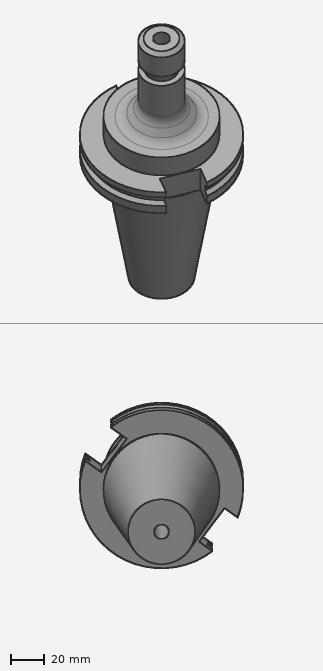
import cadquery as cq
import math

total_height = 203.2
head_bottom = 184.7
neck_step = 179.8
shank_top = 176.8
collar_top = 136.5
flange_top = 121.1
flange_bottom = 103.0
taper_top = 101.5

shank_radius = 14.0
neck_radius = 10.8
relief_radius = 10.2
collar_radius = 35.0
flange_radius = 49.2
taper_top_radius = 35.0
taper_relief_radius = 34.3
taper_ratio = 7 / 24
taper_bottom_radius = taper_top_radius - taper_top * taper_ratio / 2

head_chamfer_width = 3.3
head_chamfer_height = 2.0

flare_radius = 10.0
flare_outer_radius = 28.0
flare_height = flare_outer_radius - shank_radius

groove_center = 113.0
groove_floor_width = 4.0
groove_depth = 3.3
groove_side_height = 1.6
groove_half_mouth = groove_floor_width / 2 + groove_side_height

slot_width = 25.8
left_slot_floor = 37.5
right_slot_floor = 35.4

bore_diameter = 9.0
mouth_diameter = 10.2
mouth_depth = 20.3
side_hole_diameter = 9.8
side_hole_depth = 5.0


def flare(profile):
    """Continue the outline from the collar face up to the shank."""
    sin45 = math.sin(math.pi / 4)
    sin22 = math.sin(math.pi / 8)
    cos22 = math.cos(math.pi / 8)
    lower_center_z = collar_top + flare_radius
    upper_center_r = shank_radius + flare_radius
    shank_bottom = collar_top + flare_height

    def lower(sine, cosine):
        return (flare_outer_radius - flare_radius * sine, lower_center_z - flare_radius * cosine)

    def upper(sine, cosine):
        return (upper_center_r - flare_radius * cosine, shank_bottom - flare_radius * sine)

    return (
        profile.lineTo(flare_outer_radius, collar_top)
        .threePointArc(lower(sin22, cos22), lower(sin45, sin45))
        .lineTo(*upper(sin45, sin45))
        .threePointArc(upper(sin22, cos22), (shank_radius, shank_bottom))
    )


def turned_body():
    """Revolve the taper, flange, collar and shank about Z."""
    profile = (
        cq.Workplane("XZ")
        .moveTo(0, 0)
        .lineTo(taper_bottom_radius, 0)
        .lineTo(taper_top_radius, taper_top)
        .lineTo(taper_relief_radius, flange_bottom)
        .lineTo(flange_radius, flange_bottom)
        .lineTo(flange_radius, groove_center - groove_half_mouth)
        .lineTo(flange_radius - groove_depth, groove_center - groove_floor_width / 2)
        .lineTo(flange_radius - groove_depth, groove_center + groove_floor_width / 2)
        .lineTo(flange_radius, groove_center + groove_half_mouth)
        .lineTo(flange_radius, flange_top)
        .lineTo(collar_radius, flange_top)
        .lineTo(collar_radius, collar_top)
    )
    profile = (
        flare(profile)
        .lineTo(shank_radius, shank_top)
        .lineTo(relief_radius, shank_top)
        .lineTo(neck_radius, neck_step)
        .lineTo(neck_radius, head_bottom)
        .lineTo(shank_radius, head_bottom)
        .lineTo(shank_radius, total_height - head_chamfer_height)
        .lineTo(shank_radius - head_chamfer_width, total_height)
        .lineTo(0, total_height)
        .close()
    )
    return profile.revolve(360, (0, 0, 0), (0, 1, 0))


def drive_slot(side, floor):
    """Block removed from the flange on the -X (side = -1) or +X (side = 1) side."""
    length = flange_radius - floor
    return (
        cq.Workplane("XY", origin=(side * (floor + length / 2), 0, flange_bottom))
        .rect(length, slot_width)
        .extrude(flange_top - flange_bottom)
    )


def axial_bore():
    """Through bore with a slightly wider mouth at the head."""
    bore = cq.Workplane("XY").circle(bore_diameter / 2).extrude(total_height)
    mouth = (
        cq.Workplane("XY", origin=(0, 0, total_height))
        .circle(mouth_diameter / 2)
        .extrude(-mouth_depth)
    )
    return bore.union(mouth)


def side_hole():
    """Blind hole drilled inward from the floor of the -X drive slot."""
    return (
        cq.Workplane("YZ", origin=(-left_slot_floor, 0, groove_center))
        .circle(side_hole_diameter / 2)
        .extrude(side_hole_depth)
    )


result = (
    turned_body()
    .cut(drive_slot(-1, left_slot_floor))
    .cut(drive_slot(1, right_slot_floor))
    .cut(axial_bore())
    .cut(side_hole())
)